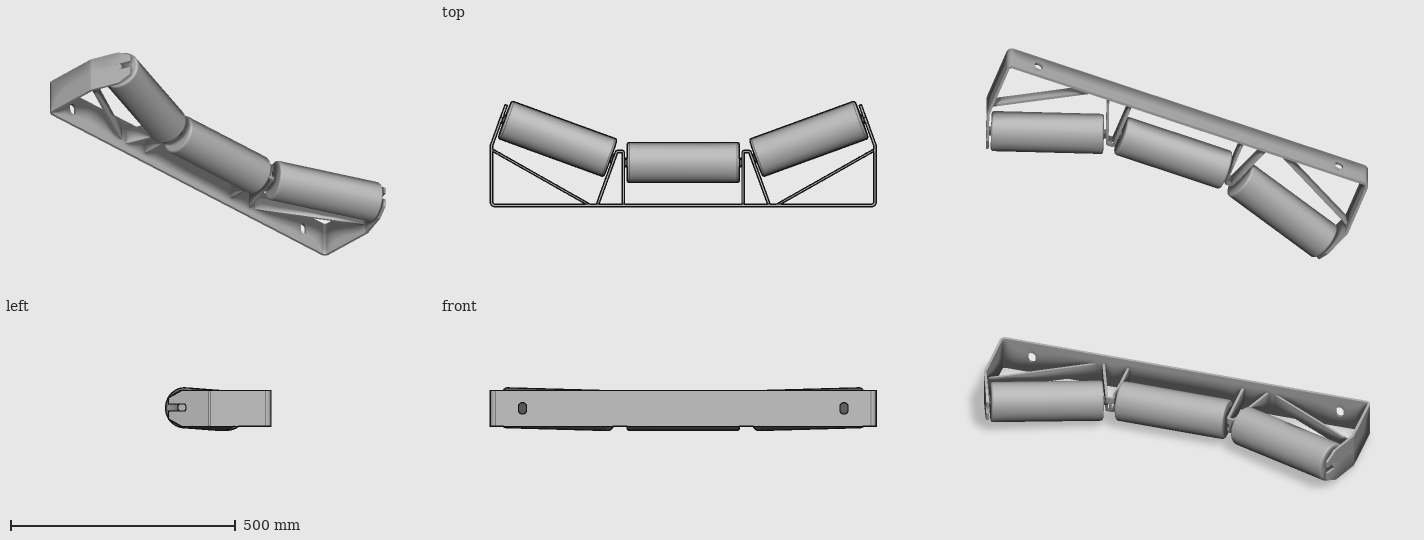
import cadquery as cq
import math

frame_length = 860.0
frame_height = 80.0
strip = 6.0
bend_radius = 12.0
wing_bend_y = 137.0
wing_length = 97.0
wing_corner_along = 29.0
wing_corner_height = 15.5
trough_angle = 20.0

bracket_top_y = 126.0
bracket_height = 37.0
bracket_bend_radius = 7.0

brace_thickness = 5.0
brace_height = 30.0
brace_wall_y = 129.0
brace_angle = 29.5

mount_hole_x = 358.0
mount_hole_width = 18.0
mount_hole_height = 26.0

roller_diameter = 89.5
roller_length = 250.0
roller_fillet = 5.0
roller_gap = 5.0
shaft_diameter = 20.0
shaft_flat_width = 15.5
side_roller_tilt = 1.5
side_axis_on_wing = 65.0
side_roller_z = -2.0
centre_roller_y = 99.0
centre_roller_z = -4.0
seat_depth = 86.0
seat_overrun = 2.0

sine = math.sin(math.radians(trough_angle))
cosine = math.cos(math.radians(trough_angle))
half_length = frame_length / 2
shaft_length = roller_length + 2 * (roller_gap + strip)


def along_wing(distance):
    """Point on the outer face of the right wing, measured from its bend."""
    return half_length - distance * sine, wing_bend_y + distance * cosine


def along_side_axis(distance):
    """Point on the right roller axis, measured inward from the outer face of the wing."""
    x, y = along_wing(side_axis_on_wing)
    return x - distance * cosine, y - distance * sine


side_roller_x, side_roller_y = along_side_axis(shaft_length / 2)


def both_sides(right_half):
    return right_half.union(right_half.mirror("YZ"))


def plate(points, height):
    """Flat outline in XY, extruded with Z = 0 at mid-height."""
    return cq.Workplane("XY", origin=(0, 0, -height / 2)).polyline(points).close().extrude(height)


def round_bend(body, x, y, radius):
    """Round the vertical edge at (x, y)."""
    reach = 1.0
    corner = cq.selectors.BoxSelector(
        (x - reach, y - reach, -frame_height), (x + reach, y + reach, frame_height)
    )
    return body.edges("|Z").edges(corner).fillet(radius)


def centred_cylinder(diameter, length):
    """Cylinder along X, centred on the origin."""
    return cq.Workplane("YZ", origin=(-length / 2, 0, 0)).circle(diameter / 2).extrude(length)


def make_channel():
    """Right half of the base strip, with its end wall and inclined wing."""
    tip_x, tip_y = along_wing(wing_length)
    inner_x = half_length - strip
    inner_bend_y = wing_bend_y - strip * math.tan(math.radians(trough_angle / 2))
    half = plate(
        [
            (0, 0),
            (half_length, 0),
            (half_length, wing_bend_y),
            (tip_x, tip_y),
            (tip_x - strip * cosine, tip_y - strip * sine),
            (inner_x, inner_bend_y),
            (inner_x, strip),
            (0, strip),
        ],
        frame_height,
    )
    half = round_bend(half, half_length, 0, bend_radius)
    half = round_bend(half, inner_x, strip, bend_radius - strip)
    half = round_bend(half, half_length, wing_bend_y, bend_radius)
    half = round_bend(half, inner_x, inner_bend_y, bend_radius - strip)
    return half.cut(wing_corner_cuts())


def wing_corner_cuts():
    """Wedges that take the upper and lower corners off the right wing."""
    tip_x, tip_y = along_wing(wing_length)
    wing_plane = cq.Plane(origin=(tip_x, tip_y, 0), xDir=(-sine, cosine, 0), normal=(cosine, sine, 0))
    edge_z = frame_height / 2
    upper = (
        cq.Workplane(wing_plane)
        .polyline([(-wing_corner_along, edge_z), (0, edge_z), (0, edge_z - wing_corner_height)])
        .close()
        .extrude(2 * strip, both=True)
    )
    return upper.union(upper.mirror("XY"))


def make_bracket():
    """Right folded bracket: upright leg for the centre roller, inclined leg for the side roller."""
    upright_x = roller_length / 2 + roller_gap
    face_x, face_y = along_side_axis(roller_length + 2 * roller_gap + strip)
    lean = sine / cosine

    def leg_x(y, depth):
        """Inclined leg at height y, the given depth behind its roller face."""
        return face_x - depth / cosine - (y - face_y) * lean

    inner_top = bracket_top_y - strip
    outer_corner = (leg_x(bracket_top_y, 0), bracket_top_y)
    inner_corner = (leg_x(inner_top, strip), inner_top)
    bracket = plate(
        [
            (upright_x, strip),
            (upright_x, bracket_top_y),
            outer_corner,
            (leg_x(strip, 0), strip),
            (leg_x(strip, strip), strip),
            inner_corner,
            (upright_x + strip, inner_top),
            (upright_x + strip, strip),
        ],
        bracket_height,
    )
    bracket = round_bend(bracket, upright_x, bracket_top_y, bracket_bend_radius)
    return round_bend(bracket, *outer_corner, bracket_bend_radius)


def make_brace():
    """Right diagonal brace from the base to the end wall."""
    slope = math.tan(math.radians(brace_angle))
    drop = brace_thickness / math.cos(math.radians(brace_angle))
    wall_x = half_length - strip
    base_x = wall_x - (brace_wall_y - strip) / slope
    return plate(
        [
            (wall_x, brace_wall_y),
            (base_x, strip),
            (base_x + drop / slope, strip),
            (wall_x, brace_wall_y - drop),
        ],
        brace_height,
    )


def mount_holes():
    """Upright slots through the base."""
    return (
        cq.Workplane("XZ")
        .pushPoints([(-mount_hole_x, 0), (mount_hole_x, 0)])
        .slot2D(mount_hole_height, mount_hole_width, 90)
        .extrude(-strip)
    )


def make_shaft(length):
    """Shaft with two flats."""
    rod = centred_cylinder(shaft_diameter, length)
    return rod.intersect(cq.Workplane("XY").box(length, shaft_diameter, shaft_flat_width))


def make_roller():
    """Drum on a shaft whose ends are flush with the far faces of its supports."""
    drum = centred_cylinder(roller_diameter, roller_length)
    return drum.faces("<X or >X").edges().fillet(roller_fillet).union(make_shaft(shaft_length))


def make_seat_cutter():
    """Shaft seats with channels open to +Y, through which the shaft drops in."""
    cutter_length = shaft_length + 2 * seat_overrun
    channel_length = (cutter_length - roller_length) / 2
    channel_x = (cutter_length - channel_length) / 2
    channels = (
        cq.Workplane("XY")
        .pushPoints([(side * channel_x, seat_depth / 2) for side in (-1, 1)])
        .box(channel_length, seat_depth, shaft_flat_width)
    )
    return make_shaft(cutter_length).union(channels)


def place_centre(body):
    return body.translate((0, centre_roller_y, centre_roller_z))


def place_side(body, side):
    """Put a roller-shaped body on the left (side -1) or right (side 1)."""
    tilted = body.rotate((0, 0, 0), (0, 1, 0), -side * side_roller_tilt)
    inclined = tilted.rotate((0, 0, 0), (0, 0, 1), side * trough_angle)
    return inclined.translate((side * side_roller_x, side_roller_y, side_roller_z))


def make_frame():
    """Welded frame: base with wings, two roller brackets and two braces."""
    frame = both_sides(make_channel())
    frame = frame.union(both_sides(make_bracket()))
    frame = frame.union(both_sides(make_brace()))
    frame = frame.cut(mount_holes())
    seats = make_seat_cutter()
    frame = frame.cut(place_centre(seats))
    for side in (-1, 1):
        frame = frame.cut(place_side(seats, side))
    return frame


frame = make_frame()
centre_roller = place_centre(make_roller())
side_rollers = [place_side(make_roller(), side) for side in (-1, 1)]

result = cq.Compound.makeCompound(
    [body.solids().val() for body in (frame, centre_roller, *side_rollers)]
)